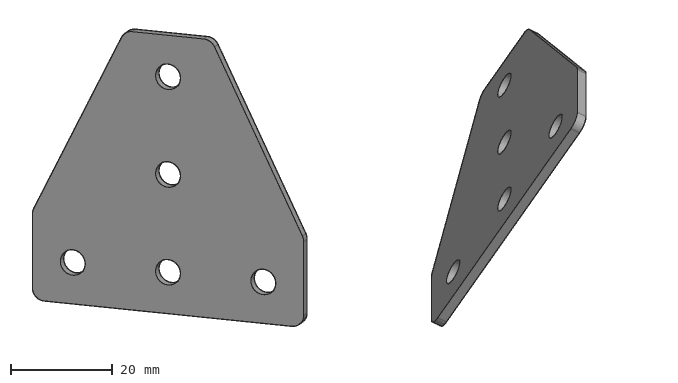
import cadquery as cq

width = 57.0
height = 57.0
thickness = 2.0
shoulder_height = 18.2
top_width = 18.2
corner_radius = 2.5

hole_diameter = 5.2
hole_pitch = 20.0
hole_row_height = 8.5


def make_plate():
    """Upright plate with tapered upper sides and every corner rounded."""
    outline = [
        (-width / 2, 0),
        (width / 2, 0),
        (width / 2, shoulder_height),
        (top_width / 2, height),
        (-top_width / 2, height),
        (-width / 2, shoulder_height),
    ]
    plate = cq.Workplane("XZ").polyline(outline).close().extrude(thickness)
    return plate.edges("|Y").fillet(corner_radius)


def make_holes():
    """Through holes in an inverted T: a row of three and two more above its middle."""
    row = [(i * hole_pitch, hole_row_height) for i in (-1, 0, 1)]
    column = [(0, hole_row_height + i * hole_pitch) for i in (1, 2)]
    return cq.Workplane("XZ").pushPoints(row + column).circle(hole_diameter / 2).extrude(thickness)


result = make_plate().cut(make_holes())